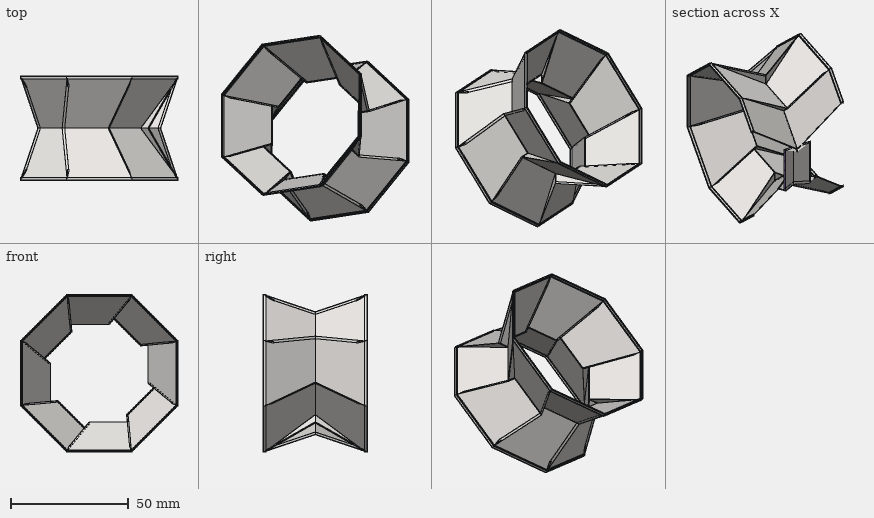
import cadquery as cq
import math

SIDES = 8
TOTAL_LENGTH = 44.4
RIM_APOTHEM = 33.39
RIM_WIDTH = 0.6
RIM_LENGTH = 1.2

WALL_THICKNESS = 0.4
WALL_END_APOTHEM = 33.16
WAIST_APOTHEM = 21.13
FOLD_OFFSET = 3.79

STEP_ANGLE = 2 * math.pi / SIDES
HALF_SIDE = math.tan(STEP_ANGLE / 2)
WALL_LENGTH = TOTAL_LENGTH / 2 - RIM_LENGTH

PANEL_SLOPE = (WALL_END_APOTHEM - WAIST_APOTHEM) / WALL_LENGTH
FOLD_SLOPE = (WALL_END_APOTHEM * HALF_SIDE - FOLD_OFFSET) / WALL_LENGTH


def panel_point(panel, along, outward, y):
    """Point at height y, given sideways and outward distances in the frame of one panel."""
    angle = panel * STEP_ANGLE
    x = outward * math.cos(angle) - along * math.sin(angle)
    z = outward * math.sin(angle) + along * math.cos(angle)
    return cq.Vector(x, y, z)


def ring_of_points(along, outward, y):
    return [panel_point(i, along, outward, y) for i in range(SIDES)]


def octagon_corners(apothem, y):
    """Corners of an octagon; corner i lies between panel i - 1 and panel i."""
    return ring_of_points(-apothem * HALF_SIDE, apothem, y)


def polygon_face(points):
    return cq.Face.makeFromWires(cq.Wire.makePolygon(points, close=True))


def half_body(inset):
    """Solid enclosed by the wall for Y >= 0, with every panel and fold moved inward by inset."""
    waist = WAIST_APOTHEM - inset * math.hypot(1, PANEL_SLOPE)
    wall_end = waist + PANEL_SLOPE * WALL_LENGTH
    offset = FOLD_OFFSET + inset * math.hypot(1, FOLD_SLOPE)

    crest_height = (waist * HALF_SIDE - offset) * math.tan(STEP_ANGLE)
    roots = ring_of_points(-offset, waist, 0)
    crests = ring_of_points(-offset, waist + crest_height, 0)

    ends = octagon_corners(wall_end, WALL_LENGTH)
    tips = ends
    if inset > 0:
        tip_y = (waist * HALF_SIDE - offset) / (FOLD_SLOPE - PANEL_SLOPE * HALF_SIDE)
        tips = octagon_corners(waist + PANEL_SLOPE * tip_y, tip_y)

    faces = [polygon_face(ends)]
    waist_outline = []
    for i in range(SIDES):
        following = (i + 1) % SIDES
        panel = [tips[i], roots[i], crests[following], tips[following]]
        if inset > 0:
            panel += [ends[following], ends[i]]
        faces.append(polygon_face(panel))
        faces.append(polygon_face([tips[i], roots[i], crests[i]]))
        waist_outline += [crests[i], roots[i]]
    faces.append(polygon_face(waist_outline))
    return cq.Solid.makeSolid(cq.Shell.makeShell(faces))


def rim_prism(apothem):
    outline = polygon_face(octagon_corners(apothem, WALL_LENGTH))
    return cq.Solid.extrudeLinear(outline, cq.Vector(0, RIM_LENGTH, 0))


def half_spool():
    wall = half_body(0).cut(half_body(WALL_THICKNESS))
    rim = rim_prism(RIM_APOTHEM).cut(rim_prism(RIM_APOTHEM - RIM_WIDTH))
    return wall.fuse(rim)


half = half_spool()
result = cq.Workplane(half.fuse(half.mirror("XZ")))